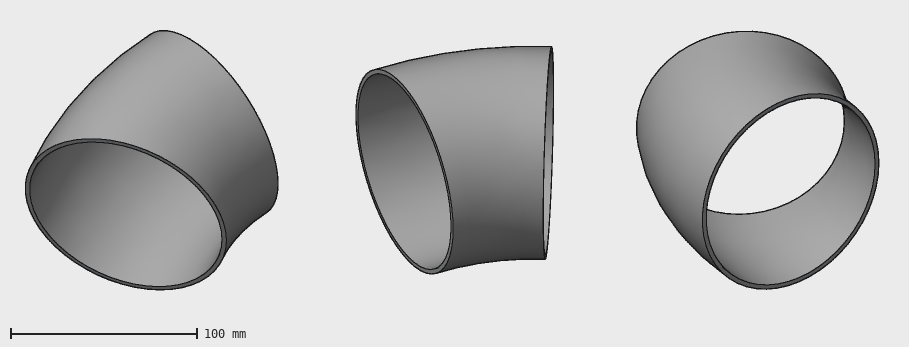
import cadquery as cq
import math

overall_width = 127.1
bend_angle = 30.0
bend_radius = 152.5
wall_thickness = 2.5

bend_cosine = math.cos(math.radians(bend_angle))
outer_radius = (overall_width - bend_radius * (1 - bend_cosine)) / (1 + bend_cosine)
inner_radius = outer_radius - wall_thickness

inlet_ring = cq.Workplane("XZ").circle(outer_radius).circle(inner_radius)
result = inlet_ring.revolve(bend_angle, (bend_radius, 1.3, 0), (bend_radius, 0, 0))